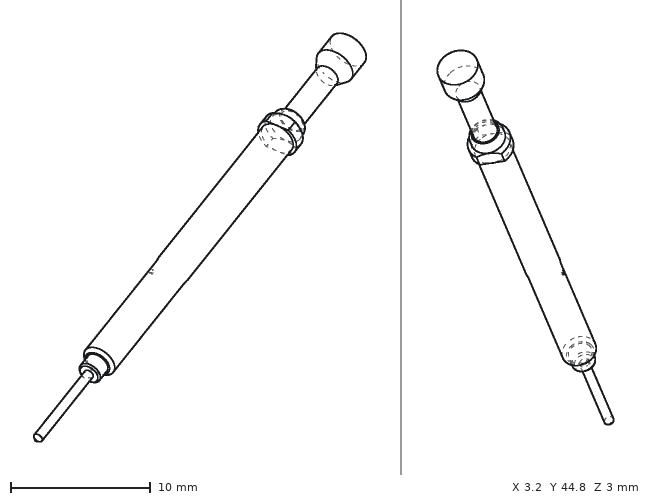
import cadquery as cq
import math

TOTAL_LENGTH = 44.8
HEAD_END = TOTAL_LENGTH / 2

HEAD_DIAMETER = 3.0
NECK_DIAMETER = 1.8
RING_DIAMETER = 2.55
COLLAR_DIAMETER = 3.2
REAR_BARREL_DIAMETER = 2.65
FRONT_BARREL_DIAMETER = 2.55
NOSE_DIAMETER = 1.75
NEEDLE_DIAMETER = 0.7
TIP_DIAMETER = 0.15

HEAD_LENGTH = 1.93
NECK_START = 3.0
SHOULDER_START = 8.1
COLLAR_CONE_START = 8.95
COLLAR_END = 10.15
TAPER_START = 25.05
TAPER_END = 25.45
FRONT_BARREL_END = 35.97
NOSE_END = 37.2

HEAD_BULGE = 0.05
SHOULDER_RADIUS = 0.45
SHOULDER_LENGTH = 0.4
COLLAR_CONE_LENGTH = 0.25
BARREL_CHAMFER = 0.25
NOSE_CHAMFER = 0.15
TIP_LENGTH = 0.3

FLAT_DISTANCE = 2.6

DIMPLE_POSITION = 26.1
DIMPLE_DIAMETER = 0.3
DIMPLE_DEPTH = 0.15


def turned_body():
    """Revolve the half profile, drawn as (radius, Y), around the Y axis."""

    def point(diameter, distance):
        return (diameter / 2, HEAD_END - distance)

    underside_length = NECK_START - HEAD_LENGTH
    underside_depth = (HEAD_DIAMETER - NECK_DIAMETER) / 2
    underside_slant = math.hypot(underside_length, underside_depth)
    underside_middle = (
        (HEAD_DIAMETER + NECK_DIAMETER) / 4 + HEAD_BULGE * underside_length / underside_slant,
        HEAD_END - (HEAD_LENGTH + NECK_START) / 2 - HEAD_BULGE * underside_depth / underside_slant,
    )

    shoulder_end = SHOULDER_START + SHOULDER_LENGTH
    shoulder_center_radius = RING_DIAMETER / 2 - SHOULDER_RADIUS

    def shoulder_point(rise):
        """Arc point that lies the given rise above the end of the shoulder."""
        reach = math.sqrt(SHOULDER_RADIUS**2 - rise**2)
        return (shoulder_center_radius + reach, HEAD_END - shoulder_end + rise)

    profile = (
        cq.Workplane("XY")
        .moveTo(0, HEAD_END)
        .lineTo(*point(HEAD_DIAMETER, 0))
        .lineTo(*point(HEAD_DIAMETER, HEAD_LENGTH))
        .threePointArc(underside_middle, point(NECK_DIAMETER, NECK_START))
        .lineTo(*point(NECK_DIAMETER, SHOULDER_START))
        .lineTo(*shoulder_point(SHOULDER_LENGTH))
        .threePointArc(shoulder_point(SHOULDER_LENGTH / 2), shoulder_point(0))
        .lineTo(*point(RING_DIAMETER, COLLAR_CONE_START))
        .lineTo(*point(COLLAR_DIAMETER, COLLAR_CONE_START + COLLAR_CONE_LENGTH))
        .lineTo(*point(COLLAR_DIAMETER, COLLAR_END))
        .lineTo(*point(REAR_BARREL_DIAMETER, COLLAR_END))
        .lineTo(*point(REAR_BARREL_DIAMETER, TAPER_START))
        .lineTo(*point(FRONT_BARREL_DIAMETER, TAPER_END))
        .lineTo(*point(FRONT_BARREL_DIAMETER, FRONT_BARREL_END - BARREL_CHAMFER))
        .lineTo(*point(FRONT_BARREL_DIAMETER - 2 * BARREL_CHAMFER, FRONT_BARREL_END))
        .lineTo(*point(NOSE_DIAMETER, FRONT_BARREL_END))
        .lineTo(*point(NOSE_DIAMETER, NOSE_END - NOSE_CHAMFER))
        .lineTo(*point(NOSE_DIAMETER - 2 * NOSE_CHAMFER, NOSE_END))
        .lineTo(*point(NEEDLE_DIAMETER, NOSE_END))
        .lineTo(*point(NEEDLE_DIAMETER, TOTAL_LENGTH - TIP_LENGTH))
        .lineTo(*point(TIP_DIAMETER, TOTAL_LENGTH))
        .lineTo(0, HEAD_END - TOTAL_LENGTH)
        .close()
    )
    return profile.revolve(360, (0, 0, 0), (0, 1, 0))


def collar_flat_cutters():
    """Two blocks that trim the collar above and below, parallel to XY."""
    length = COLLAR_END - COLLAR_CONE_START
    center_y = HEAD_END - (COLLAR_CONE_START + COLLAR_END) / 2
    cutters = cq.Workplane("XY")
    for side in (1, -1):
        center_z = side * (FLAT_DISTANCE + COLLAR_DIAMETER) / 2
        block = cq.Workplane("XY").box(COLLAR_DIAMETER, length, COLLAR_DIAMETER)
        cutters = cutters.add(block.translate((0, center_y, center_z)))
    return cutters.combine()


def dimple_cutter():
    """A short round pin entering the front barrel from the -X side."""
    return (
        cq.Workplane("YZ", origin=(-FRONT_BARREL_DIAMETER / 2 + DIMPLE_DEPTH, 0, 0))
        .center(HEAD_END - DIMPLE_POSITION, 0)
        .circle(DIMPLE_DIAMETER / 2)
        .extrude(-FRONT_BARREL_DIAMETER / 2)
    )


result = turned_body().cut(collar_flat_cutters()).cut(dimple_cutter())